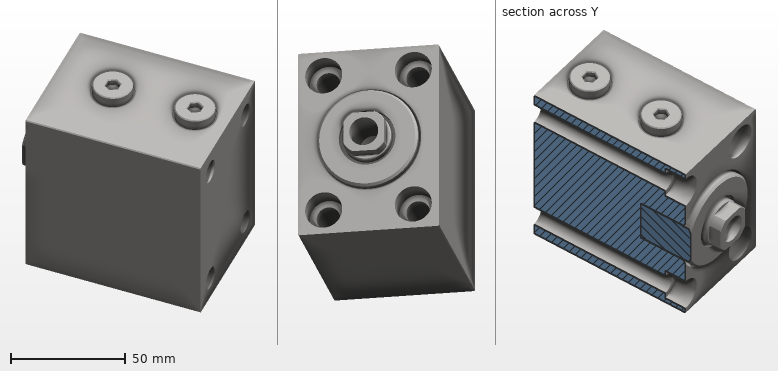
import cadquery as cq
import math


OVERALL_LENGTH = 94.0
OVERALL_HEIGHT = 89.9

HOUSING_WIDTH = 63.0
HOUSING_HEIGHT = 85.0
ROD_PROTRUSION = 11.0
HOUSING_LENGTH = OVERALL_LENGTH - ROD_PROTRUSION
HOUSING_TOP = HOUSING_HEIGHT / 2
HOUSING_CHAMFER = 0.5

MOUNT_SPACING_Y = 40.0
MOUNT_SPACING_Z = 62.9
MOUNT_HOLE_DIAMETER = 10.5
MOUNT_BORE_DIAMETER = 16.5
MOUNT_BORE_DEPTH = 11.0

GLAND_DIAMETER = 45.0
GLAND_PROTRUSION = 3.0
GLAND_DEPTH = 24.4
GLAND_CHAMFER = 1.0
GLAND_SEAT_CHAMFER = 1.0
GLAND_RECESS_DIAMETER = 25.3
GLAND_RECESS_DEPTH = 1.9

ROD_DIAMETER = 22.0
ROD_CHAMFER = 0.5
ROD_TIP_DIAMETER = ROD_DIAMETER - 2 * ROD_CHAMFER
ROD_TIP_LENGTH = 6.0
ROD_TIP_FLATS = 18.05
ROD_TIP_CHAMFER = 0.3
ROD_HOLE_DIAMETER = 13.0
ROD_HOLE_DEPTH = 23.5
ROD_HOLE_POINT_ANGLE = 118.0

PLUG_POSITIONS_X = (28.4, 67.4)
PLUG_DIAMETER = 18.0
PLUG_PROTRUSION = OVERALL_HEIGHT - HOUSING_HEIGHT
PLUG_CHAMFER = 0.5
SPOTFACE_DIAMETER = 20.0
SPOTFACE_DEPTH = 0.5
HEX_FLATS = 6.0
HEX_CHAMFER = 0.5
HEX_DEPTH = 3.0
HEX_CHAMFER_ANGLE = 45.0


def x_cylinder(diameter, start, end):
    """Solid cylinder on the X axis between two X positions."""
    return cq.Workplane("YZ", origin=(start, 0, 0)).circle(diameter / 2).extrude(end - start)


def make_housing():
    """Block with mounting holes, a gland seat and a spotface for each port plug."""
    block = cq.Workplane("XY").box(HOUSING_LENGTH, HOUSING_WIDTH, HOUSING_HEIGHT, centered=(False, True, True))
    block = block.edges("|X").chamfer(HOUSING_CHAMFER)

    block = (
        block.faces("<X").workplane(origin=(0, 0, 0))
        .rect(MOUNT_SPACING_Y, MOUNT_SPACING_Z, forConstruction=True).vertices()
        .cboreHole(MOUNT_HOLE_DIAMETER, MOUNT_BORE_DIAMETER, MOUNT_BORE_DEPTH)
    )

    seat_radius = GLAND_DIAMETER / 2
    gland_seat = (
        cq.Workplane("XY")
        .lineTo(0, seat_radius + GLAND_SEAT_CHAMFER)
        .lineTo(GLAND_SEAT_CHAMFER, seat_radius)
        .lineTo(GLAND_DEPTH, seat_radius)
        .lineTo(GLAND_DEPTH, 0)
        .close()
        .revolve(360, (0, 0, 0), (1, 0, 0))
    )
    block = block.cut(gland_seat)

    spotfaces = (
        cq.Workplane("XY", origin=(0, 0, HOUSING_TOP))
        .pushPoints([(x, 0) for x in PLUG_POSITIONS_X])
        .circle(SPOTFACE_DIAMETER / 2).extrude(-SPOTFACE_DEPTH)
    )
    return block.cut(spotfaces)


def make_gland():
    """Chamfered bushing that fills the housing seat and guides the rod."""
    bushing = x_cylinder(GLAND_DIAMETER, -GLAND_PROTRUSION, GLAND_DEPTH)
    bushing = bushing.faces("<X").chamfer(GLAND_CHAMFER)
    bushing = bushing.cut(x_cylinder(ROD_DIAMETER, -GLAND_PROTRUSION, GLAND_DEPTH))
    recess_floor = GLAND_RECESS_DEPTH - GLAND_PROTRUSION
    return bushing.cut(x_cylinder(GLAND_RECESS_DIAMETER, -GLAND_PROTRUSION, recess_floor))


def make_rod():
    """Round rod with a four-flat tip and a drilled hole with a conical bottom."""
    tip_end = -ROD_PROTRUSION
    shoulder = tip_end + ROD_TIP_LENGTH
    shank = x_cylinder(ROD_DIAMETER, shoulder, GLAND_DEPTH).faces("<X").chamfer(ROD_CHAMFER)

    tip = x_cylinder(ROD_TIP_DIAMETER, tip_end, shoulder).faces("<X").chamfer(ROD_TIP_CHAMFER)
    square = (
        cq.Workplane("YZ", origin=(tip_end, 0, 0))
        .rect(ROD_TIP_FLATS, ROD_TIP_FLATS).extrude(ROD_TIP_LENGTH)
    )
    rod = shank.union(tip.intersect(square))

    hole_radius = ROD_HOLE_DIAMETER / 2
    hole_end = tip_end + ROD_HOLE_DEPTH
    point_length = hole_radius / math.tan(math.radians(ROD_HOLE_POINT_ANGLE / 2))
    drill = (
        cq.Workplane("XY")
        .moveTo(tip_end, 0)
        .lineTo(tip_end, hole_radius)
        .lineTo(hole_end, hole_radius)
        .lineTo(hole_end + point_length, 0)
        .close()
        .revolve(360, (0, 0, 0), (1, 0, 0))
    )
    return rod.cut(drill)


def make_plug(x):
    """Round plug with a hex socket, standing on its spotface floor."""
    plug_top = HOUSING_TOP + PLUG_PROTRUSION
    plug = (
        cq.Workplane("XY", origin=(x, 0, HOUSING_TOP - SPOTFACE_DEPTH))
        .circle(PLUG_DIAMETER / 2).extrude(PLUG_PROTRUSION + SPOTFACE_DEPTH)
        .faces(">Z").chamfer(PLUG_CHAMFER)
    )
    top_plane = cq.Workplane("XY", origin=(x, 0, plug_top))
    socket = top_plane.polygon(6, HEX_FLATS, circumscribed=True).extrude(-HEX_DEPTH)
    mouth = (
        top_plane.polygon(6, HEX_FLATS + 2 * HEX_CHAMFER, circumscribed=True)
        .extrude(-HEX_CHAMFER, taper=HEX_CHAMFER_ANGLE)
    )
    return plug.cut(socket).cut(mouth)


housing = make_housing()
gland = make_gland()
rod = make_rod()
plugs = [make_plug(x) for x in PLUG_POSITIONS_X]

result = cq.Compound.makeCompound(
    [housing.val(), gland.val(), rod.val(), *[plug.val() for plug in plugs]]
)